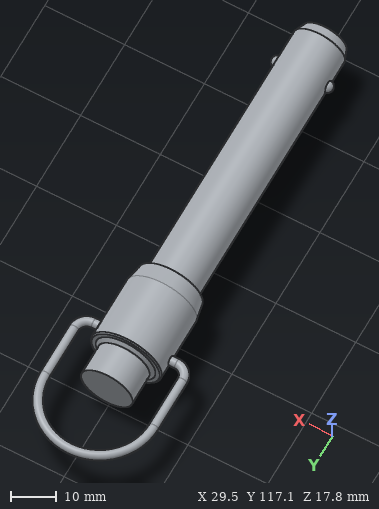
import cadquery as cq


shank_diameter = 13.0
shank_radius = shank_diameter / 2
tip_radius = 5.5
tip_chamfer_length = 2.6
button_end = 99.0

handle_radius = 8.9
handle_start = 70.0
handle_end = 90.5
handle_nose_radius = 8.1
handle_nose_length = 4.2
handle_edge_chamfer = 0.4
collar_radius = 7.5
collar_height = 0.8

ball_radius = 1.5
ball_reach = 7.7
ball_position = 10.2

overall_length = 117.1
ring_width = 29.5
wire_radius = 1.2
bend_radius = 3.2
ring_foot = 86.2

ring_radius = ring_width / 2 - wire_radius
arch_start = overall_length - wire_radius - ring_radius


def make_body():
    """Shank, handle, collar and button as one revolved profile."""
    nose_end = handle_start + handle_nose_length
    return (
        cq.Workplane("XY")
        .lineTo(tip_radius, 0)
        .lineTo(shank_radius, tip_chamfer_length)
        .lineTo(shank_radius, handle_start)
        .lineTo(handle_nose_radius, handle_start)
        .lineTo(handle_radius, nose_end)
        .lineTo(handle_radius, handle_end - handle_edge_chamfer)
        .lineTo(handle_radius - handle_edge_chamfer, handle_end)
        .lineTo(collar_radius, handle_end)
        .lineTo(shank_radius, handle_end + collar_height)
        .lineTo(shank_radius, button_end)
        .lineTo(0, button_end)
        .close()
        .revolve(360, (0, 0, 0), (0, 1, 0))
    )


def make_ring():
    """Round wire bent into an arch whose feet meet inside the handle."""
    bend_top = ring_foot + bend_radius
    foot_end = ring_radius - bend_radius
    path = (
        cq.Workplane("XY")
        .moveTo(0, ring_foot)
        .lineTo(foot_end, ring_foot)
        .tangentArcPoint((ring_radius, bend_top), relative=False)
        .lineTo(ring_radius, arch_start)
        .threePointArc((0, arch_start + ring_radius), (-ring_radius, arch_start))
        .lineTo(-ring_radius, bend_top)
        .tangentArcPoint((-foot_end, ring_foot), relative=False)
        .lineTo(0, ring_foot)
    )
    return cq.Workplane("YZ").center(ring_foot, 0).circle(wire_radius).sweep(path)


def make_ball(side):
    """Locking ball on the +X (side = 1) or -X (side = -1) flank."""
    center_x = side * (ball_reach - ball_radius)
    return cq.Workplane("XY").sphere(ball_radius).translate((center_x, ball_position, 0))


result = make_body().union(make_ring())
for side in (-1, 1):
    result = result.union(make_ball(side))